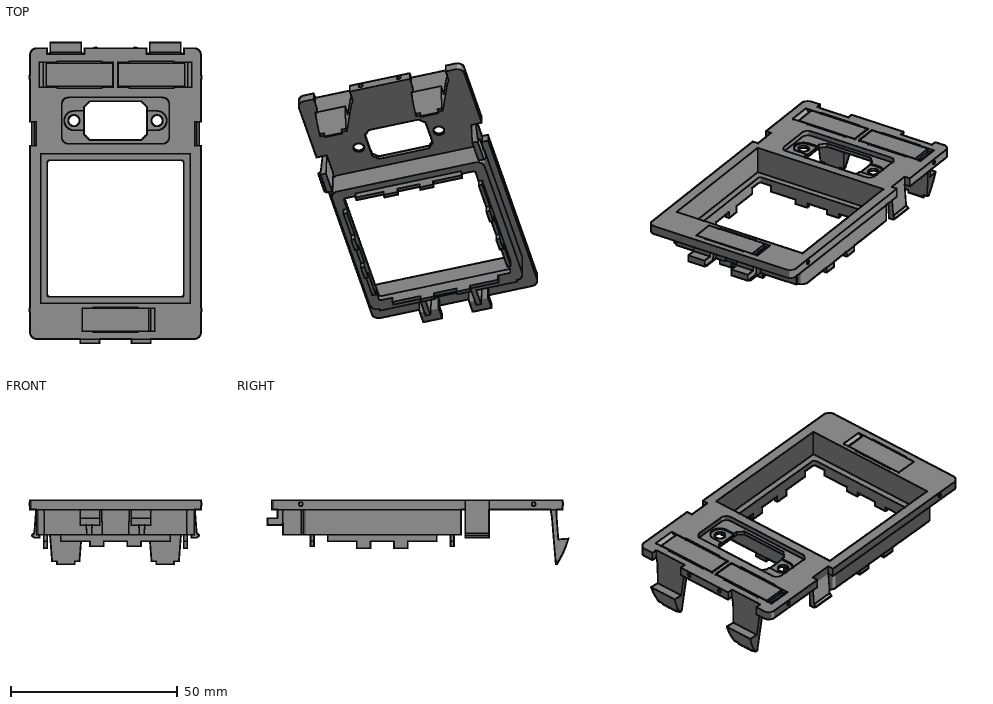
import cadquery as cq

PLATE_WIDTH = 51.5
PLATE_LENGTH = 87.5
PLATE_THICKNESS = 2.8
PLATE_CORNER_RADIUS = 2.15
PLATE_EDGE_X = PLATE_WIDTH / 2
PLATE_EDGE_Y = PLATE_LENGTH / 2

WINDOW_Y = -10.5
WINDOW_SIZE = 45.0
WELL_SIZE = 47.5
WELL_CORNER_RADIUS = 2.3
WELL_BOTTOM_Z = -10.4
OPENING_SIZE = 41.0
OPENING_CORNER_RADIUS = 0.7
LEDGE_TOP_Z = -8.5
WELL_FRONT_Y = WINDOW_Y - WELL_SIZE / 2

STRIP_LENGTH = 32.9
STRIP_THICKNESS = 1.1
STRIP_BOTTOM_Z = -12.4
FOOT_WIDTH = 4.2
FOOT_OFFSET = 5.6
FRONT_FOOT_BOTTOM_Z = -13.9
SIDE_FOOT_BOTTOM_Z = -14.5

PAD_THICKNESS = 0.6
PAD_OUTER_X = WELL_SIZE / 2 - WELL_CORNER_RADIUS
PAD_GAP_TOP_X = 4.2
PAD_GAP_BOTTOM_X = 3.9

HOOK_X = 7.7
HOOK_WIDTH = 5.9
HOOK_REACH = 1.25
HOOK_TOP_Z = -5.4
HOOK_BOTTOM_Z = -7.5
HOOK_ARM_THICKNESS = 1.65
HOOK_HEEL_RADIUS = 0.7
RIB_FRONT_Y = -40.4
RIB_TOP_WIDTH = 2.1
RIB_BOTTOM_WIDTH = 1.5
RIB_X = 7.9

CLIP_X = 14.95
CLIP_NOTCH_WIDTH = 11.2
CLIP_NOTCH_DEPTH = 1.8
CLIP_REACH = 1.75
CLIP_BASE_BOTTOM_Z = -4.9
CLIP_SHOULDER_Z = -11.75
CLIP_BARB_RISE = 0.25
CLIP_BARB_RADIUS = 28.0
CLIP_BASE_THICKNESS = 1.9
CLIP_ARM_THICKNESS = 1.5
CLIP_ARM_LEAN = 0.5
CLIP_TIP_FRONT = 0.3
CLIP_TIP_REAR = 0.05
CLIP_STEP_Z = -18.4
CLIP_BOTTOM_Z = -19.28
CLIP_ARM_TOP_WIDTH = 10.4
CLIP_ARM_BOTTOM_WIDTH = 8.3
CLIP_TIP_WIDTH = 5.4

SPRING_Y = 18.0
SPRING_WIDTH = 7.2
SPRING_NOTCH_DEPTH = 1.85
SPRING_INNER_TOP_X = 22.5
SPRING_INNER_BOTTOM_X = 22.8
SPRING_OUTER_BOTTOM_X = 24.45
SPRING_BOTTOM_Z = -11.3
SPRING_LIP_X = 25.25
SPRING_LIP_Z = -10.6
SPRING_LIP_TOP_Z = -9.9

CONNECTOR_Y = 21.95
POCKET_WIDTH = 32.3
POCKET_HEIGHT = 13.9
POCKET_CORNER_RADIUS = 2.0
POCKET_DEPTH = 1.6
CUTOUT_WIDTH = 18.9
CUTOUT_HEIGHT = 11.6
CUTOUT_CHAMFER = 1.7
SCREW_X = 12.5
SCREW_DIAMETER = 3.3
SCREW_SEAT_RADIUS = 2.9
SCREW_SEAT_DEPTH = 0.4

LABEL_LENGTH = 20.0
LABEL_HEIGHT = 7.0
LABEL_THICKNESS = 1.0
LABEL_FLOOR_GAP = 0.65
LABEL_RAMP_LENGTH = 1.2
LABEL_SLOT_LENGTH = 13.4
LABEL_SLOT_DEPTH = 0.3
FRONT_LABEL_Y = -37.95
REAR_LABEL_X = 10.85
REAR_LABEL_Y = 35.75
REAR_LABEL_GAP = 0.2
LABEL_SITES = [
    (0.0, FRONT_LABEL_Y, 0.0, 1),
    (-REAR_LABEL_X, REAR_LABEL_Y, REAR_LABEL_GAP, -1),
    (REAR_LABEL_X, REAR_LABEL_Y, REAR_LABEL_GAP, 1),
]

NUB_HEIGHT = 0.2
NUB_BASE_RADIUS = 0.6
NUB_ROOT = 0.5
NUB_DOME_RADIUS = (NUB_BASE_RADIUS**2 + NUB_HEIGHT**2) / (2 * NUB_HEIGHT)
NUB_Z = -1.15
NUB_SIDE_Y = 35.0
NUB_REAR_X = 5.95


def centred_block(x, y, width, length, z_min, z_max):
    """Box centred on (x, y) between two heights."""
    return cq.Workplane("XY").box(width, length, z_max - z_min).translate((x, y, (z_min + z_max) / 2))


def mirrored_pair(body):
    """The body together with its mirror image across X = 0."""
    return body.union(body.mirror("YZ"))


def plate():
    """Rounded rectangular face plate."""
    slab = centred_block(0, 0, PLATE_WIDTH, PLATE_LENGTH, -PLATE_THICKNESS, 0)
    return slab.edges("|Z").fillet(PLATE_CORNER_RADIUS)


def well_outside():
    shell = centred_block(0, WINDOW_Y, WELL_SIZE, WELL_SIZE, WELL_BOTTOM_Z, -PLATE_THICKNESS)
    return shell.edges("|Z").fillet(WELL_CORNER_RADIUS)


def well_cavity():
    upper = centred_block(0, WINDOW_Y, WINDOW_SIZE, WINDOW_SIZE, LEDGE_TOP_Z, 0)
    opening = centred_block(0, WINDOW_Y, OPENING_SIZE, OPENING_SIZE, WELL_BOTTOM_Z, LEDGE_TOP_Z)
    return upper.union(opening.edges("|Z").fillet(OPENING_CORNER_RADIUS))


def strip(foot_bottom_z):
    """Strip with two feet along the front edge of an opening centred on the origin."""
    y = -(OPENING_SIZE + STRIP_THICKNESS) / 2
    body = centred_block(0, y, STRIP_LENGTH, STRIP_THICKNESS, STRIP_BOTTOM_Z, WELL_BOTTOM_Z)
    for x in (-FOOT_OFFSET, FOOT_OFFSET):
        body = body.union(
            centred_block(x, y, FOOT_WIDTH, STRIP_THICKNESS, foot_bottom_z, STRIP_BOTTOM_Z)
        )
    return body


def strips():
    body = cq.Workplane("XY")
    for quarter in range(4):
        foot_bottom_z = SIDE_FOOT_BOTTOM_Z if quarter % 2 else FRONT_FOOT_BOTTOM_Z
        turned = strip(foot_bottom_z).rotate((0, 0, 0), (0, 0, 1), 90 * quarter)
        body = body.add(turned.translate((0, WINDOW_Y, 0)))
    return body.combine()


def front_pad():
    """Pad on the right half of the front wall; its inner side leans with the gap."""
    outline = [
        (PAD_GAP_TOP_X, -PLATE_THICKNESS),
        (PAD_OUTER_X, -PLATE_THICKNESS),
        (PAD_OUTER_X, WELL_BOTTOM_Z),
        (PAD_GAP_BOTTOM_X, WELL_BOTTOM_Z),
    ]
    pad = cq.Workplane("XZ").polyline(outline).close().extrude(PAD_THICKNESS)
    return pad.translate((0, WELL_FRONT_Y, 0))


def front_hook():
    """Right-hand tapered rib with an L-shaped hook on its front end."""
    rib_outline = [
        (RIB_X - RIB_TOP_WIDTH / 2, -PLATE_THICKNESS),
        (RIB_X + RIB_TOP_WIDTH / 2, -PLATE_THICKNESS),
        (RIB_X + RIB_BOTTOM_WIDTH / 2, WELL_BOTTOM_Z),
        (RIB_X - RIB_BOTTOM_WIDTH / 2, WELL_BOTTOM_Z),
    ]
    rib = cq.Workplane("XZ").polyline(rib_outline).close().extrude(WELL_FRONT_Y - RIB_FRONT_Y)
    rib = rib.translate((0, WELL_FRONT_Y, 0))
    arm_front_y = RIB_FRONT_Y - HOOK_ARM_THICKNESS
    toe_y = -PLATE_EDGE_Y - HOOK_REACH
    outline = [
        (RIB_FRONT_Y, -PLATE_THICKNESS),
        (arm_front_y, -PLATE_THICKNESS),
        (arm_front_y, HOOK_TOP_Z),
        (toe_y, HOOK_TOP_Z),
        (toe_y, HOOK_BOTTOM_Z),
        (RIB_FRONT_Y, HOOK_BOTTOM_Z),
    ]
    hook = cq.Workplane("YZ").polyline(outline).close().extrude(HOOK_WIDTH)
    hook = hook.edges("|X").edges(">Y").edges("<Z").fillet(HOOK_HEEL_RADIUS)
    return rib.union(hook.translate((HOOK_X - HOOK_WIDTH / 2, 0, 0)))


def snap_clip():
    """Right-hand rear clip: a side profile trimmed by a tapered front outline."""
    notch_floor_y = PLATE_EDGE_Y - CLIP_NOTCH_DEPTH
    half_outline = [
        (CLIP_NOTCH_WIDTH / 2, -PLATE_THICKNESS),
        (CLIP_ARM_TOP_WIDTH / 2, CLIP_BASE_BOTTOM_Z),
        (CLIP_ARM_BOTTOM_WIDTH / 2, CLIP_STEP_Z),
        (CLIP_TIP_WIDTH / 2, CLIP_STEP_Z),
        (CLIP_TIP_WIDTH / 2, CLIP_BOTTOM_Z),
    ]
    outline = half_outline + [(-x, z) for x, z in reversed(half_outline)]
    profile = (
        cq.Workplane("YZ")
        .moveTo(notch_floor_y - CLIP_TIP_FRONT, CLIP_BOTTOM_Z)
        .lineTo(notch_floor_y - CLIP_ARM_THICKNESS, CLIP_BASE_BOTTOM_Z)
        .lineTo(notch_floor_y - CLIP_BASE_THICKNESS, -PLATE_THICKNESS)
        .lineTo(notch_floor_y, -PLATE_THICKNESS)
        .lineTo(notch_floor_y, CLIP_BASE_BOTTOM_Z)
        .lineTo(notch_floor_y + CLIP_ARM_LEAN, CLIP_SHOULDER_Z)
        .lineTo(PLATE_EDGE_Y + CLIP_REACH, CLIP_SHOULDER_Z + CLIP_BARB_RISE)
        .radiusArc((notch_floor_y + CLIP_TIP_REAR, CLIP_BOTTOM_Z), CLIP_BARB_RADIUS)
        .close()
        .extrude(CLIP_NOTCH_WIDTH / 2, both=True)
    )
    front = cq.Workplane("XZ").polyline(outline).close().extrude(-PLATE_LENGTH)
    return profile.intersect(front).translate((CLIP_X, 0, 0))


def snap_clip_notch():
    return centred_block(
        CLIP_X, PLATE_EDGE_Y, CLIP_NOTCH_WIDTH, 2 * CLIP_NOTCH_DEPTH, -PLATE_THICKNESS, 0
    )


def spring_clip():
    """Right-hand leaf with an outward lip at its lower end."""
    outline = [
        (SPRING_INNER_TOP_X, -PLATE_THICKNESS),
        (PLATE_EDGE_X - SPRING_NOTCH_DEPTH, -PLATE_THICKNESS),
        (SPRING_OUTER_BOTTOM_X, SPRING_LIP_TOP_Z),
        (SPRING_LIP_X, SPRING_LIP_Z),
        (SPRING_OUTER_BOTTOM_X, SPRING_BOTTOM_Z),
        (SPRING_INNER_BOTTOM_X, SPRING_BOTTOM_Z),
    ]
    leaf = cq.Workplane("XZ").polyline(outline).close().extrude(SPRING_WIDTH / 2, both=True)
    return leaf.translate((0, SPRING_Y, 0))


def spring_clip_notch():
    return centred_block(
        PLATE_EDGE_X, SPRING_Y, 2 * SPRING_NOTCH_DEPTH, SPRING_WIDTH, -PLATE_THICKNESS, 0
    )


def connector_pocket():
    floor_z = -POCKET_DEPTH
    seat_z = floor_z - SCREW_SEAT_DEPTH
    pocket = centred_block(0, CONNECTOR_Y, POCKET_WIDTH, POCKET_HEIGHT, floor_z, 0)
    pocket = pocket.edges("|Z").fillet(POCKET_CORNER_RADIUS)
    cutout = centred_block(0, CONNECTOR_Y, CUTOUT_WIDTH, CUTOUT_HEIGHT, -PLATE_THICKNESS, floor_z)
    cutout = cutout.edges("|Z").chamfer(CUTOUT_CHAMFER)
    seats = (
        cq.Workplane("XY", origin=(0, CONNECTOR_Y, seat_z))
        .slot2D(2 * (SCREW_X + SCREW_SEAT_RADIUS), 2 * SCREW_SEAT_RADIUS)
        .extrude(SCREW_SEAT_DEPTH)
    )
    screw_holes = (
        cq.Workplane("XY", origin=(0, CONNECTOR_Y, -PLATE_THICKNESS))
        .pushPoints([(-SCREW_X, 0), (SCREW_X, 0)])
        .circle(SCREW_DIAMETER / 2)
        .extrude(PLATE_THICKNESS)
    )
    return pocket.union(cutout).union(seats).union(screw_holes)


def label_recess(x, y, gap, ramp_side):
    """Recess with a finger ramp at one end and a narrow slot along each long side."""
    height = LABEL_HEIGHT + 2 * gap
    closed_end = -LABEL_LENGTH / 2 - gap
    floor_end = LABEL_LENGTH / 2 + gap + LABEL_FLOOR_GAP
    outline = [
        (closed_end, 0),
        (closed_end, -LABEL_THICKNESS),
        (floor_end, -LABEL_THICKNESS),
        (floor_end + LABEL_RAMP_LENGTH, 0),
    ]
    recess = cq.Workplane("XZ").polyline(outline).close().extrude(height / 2, both=True)
    recess = recess.union(
        centred_block(0, 0, LABEL_SLOT_LENGTH, height + 2 * LABEL_SLOT_DEPTH, -LABEL_THICKNESS, 0)
    )
    if ramp_side < 0:
        recess = recess.mirror("YZ")
    return recess.translate((x, y, 0))


def label(x, y):
    return centred_block(x, y, LABEL_LENGTH, LABEL_HEIGHT, -LABEL_THICKNESS, 0)


def nub():
    """Round peg along +X, rooted inside the plate, with a domed end past X = 0."""
    peg = (
        cq.Workplane("XY")
        .moveTo(-NUB_ROOT, 0)
        .lineTo(-NUB_ROOT, NUB_BASE_RADIUS)
        .lineTo(0, NUB_BASE_RADIUS)
        .radiusArc((NUB_HEIGHT, 0), NUB_DOME_RADIUS)
        .close()
        .revolve(360, (0, 0), (1, 0))
    )
    return peg.translate((0, 0, NUB_Z))


def nubs():
    """Right-hand nubs: two on the side edge and one on the rear edge."""
    front = nub().translate((PLATE_EDGE_X, -NUB_SIDE_Y, 0))
    rear = nub().translate((PLATE_EDGE_X, NUB_SIDE_Y, 0))
    end = nub().rotate((0, 0, 0), (0, 0, 1), 90).translate((NUB_REAR_X, PLATE_EDGE_Y, 0))
    return front.union(rear).union(end)


def frame():
    body = plate().union(well_outside())
    body = body.cut(well_cavity()).union(strips())
    body = body.cut(mirrored_pair(snap_clip_notch())).cut(mirrored_pair(spring_clip_notch()))
    for feature in (nubs(), front_pad(), front_hook(), snap_clip(), spring_clip()):
        body = body.union(mirrored_pair(feature))
    body = body.cut(connector_pocket())
    for x, y, gap, ramp_side in LABEL_SITES:
        body = body.cut(label_recess(x, y, gap, ramp_side))
    return body


frame_body = frame()
labels = [label(x, y).val() for x, y, gap, ramp_side in LABEL_SITES]

result = cq.Compound.makeCompound([frame_body.val(), *labels])